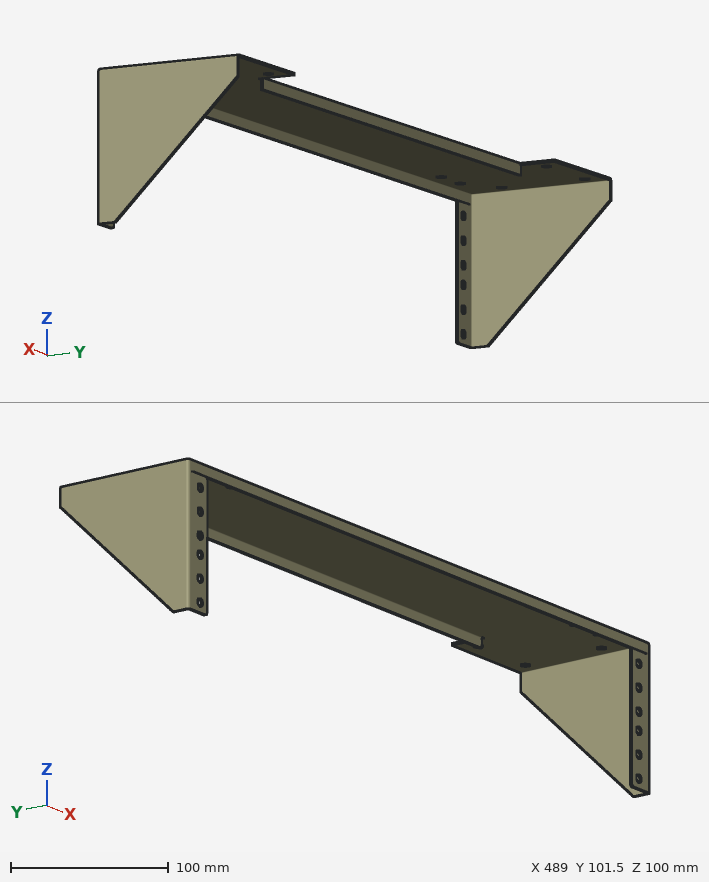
import cadquery as cq

WIDTH = 489.0
DEPTH = 101.5
HEIGHT = 100.0
SHEET = 1.5
BEND_RADIUS = 2.0
INNER_BEND_RADIUS = BEND_RADIUS - SHEET
HALF_WIDTH = WIDTH / 2
FOLDED_EDGES = "(>Z and <Y) or (>Z and <X) or (>Z and >X) or (<Y and <X) or (<Y and >X)"

END_BACK_HEIGHT = 14.0
END_FOOT_DEPTH = 12.5

FLANGE_WIDTH = 19.5
FLANGE_CORNER_RADIUS = 2.0
LIP_HEIGHT = 8.5
SLIT = 0.1
SLIT_INSET = 4.5

TAB_WIDTH = 74.5
NOTCH_DEPTH = 25.5
RELIEF_WIDTH = 1.5
NOTCH_FLOOR = DEPTH - NOTCH_DEPTH
REAR_LIP_FACE = NOTCH_FLOOR + BEND_RADIUS

TOP_HOLE_DIAMETER = 6.0
RACK_HOLE_DIAMETER = 5.5
EDGE_INSET = 12.5
RACK_INSET = 12.0
HOLE_PITCH = 25.0
BACK_HOLE_Y = 89.5
SIDE_HOLE_Y = 29.5
FRONT_HOLE_Y = 13.0
FIRST_RACK_HOLE = 17.0
RACK_UNIT = 44.5
RACK_CLOSE_STEP = 12.5
RACK_WIDE_STEP = (RACK_UNIT - RACK_CLOSE_STEP) / 2
RACK_STEPS = (RACK_WIDE_STEP, RACK_WIDE_STEP, RACK_CLOSE_STEP, RACK_WIDE_STEP, RACK_WIDE_STEP)


def box(x_min, x_max, y_min, y_max, z_min, z_max):
    size = (x_max - x_min, y_max - y_min, z_max - z_min)
    return cq.Workplane("XY").box(*size, centered=False).translate((x_min, y_min, z_min))


def folded_shell():
    """Top, front and two ends, open at the back and below, with rounded bends."""
    outer = box(-HALF_WIDTH, HALF_WIDTH, 0, DEPTH, -HEIGHT, 0)
    outer = outer.edges(FOLDED_EDGES)
    outer = outer.fillet(BEND_RADIUS)
    inner_half_width = HALF_WIDTH - SHEET
    inner = box(-inner_half_width, inner_half_width, SHEET, DEPTH + SHEET, -HEIGHT - SHEET, -SHEET)
    inner = inner.edges(FOLDED_EDGES)
    inner = inner.fillet(INNER_BEND_RADIUS)
    return outer.cut(inner)


def end_plate_waste():
    """Wedge removed from both ends to leave their sloping edge."""
    return (
        cq.Workplane("YZ")
        .moveTo(END_FOOT_DEPTH, -HEIGHT)
        .lineTo(DEPTH, -END_BACK_HEIGHT)
        .lineTo(DEPTH, -HEIGHT)
        .close()
        .extrude(HALF_WIDTH, both=True)
    )


def front_opening():
    """Opening below the front lip, plus the thin slits parting the lip from the flanges."""
    half_opening = HALF_WIDTH - FLANGE_WIDTH
    opening = box(-half_opening, half_opening, 0, SHEET, -HEIGHT, -LIP_HEIGHT)
    half_slit = HALF_WIDTH - SLIT_INSET
    slit = box(-half_slit, half_slit, 0, SHEET, -LIP_HEIGHT - SLIT, -LIP_HEIGHT)
    return opening.union(slit)


def round_flange_corners(body):
    """Round the lower inner corner of both front flanges."""
    reach = HALF_WIDTH - FLANGE_WIDTH + FLANGE_CORNER_RADIUS
    corners = cq.selectors.BoxSelector(
        (-reach, -SHEET, -HEIGHT - SHEET),
        (reach, 2 * SHEET, -HEIGHT + SHEET),
    )
    return body.edges("|Y").edges(corners).fillet(FLANGE_CORNER_RADIUS)


def notch():
    """Opening between the two tabs at the back of the top plate."""
    half_notch = HALF_WIDTH - TAB_WIDTH
    return box(-half_notch, half_notch, NOTCH_FLOOR, DEPTH, -SHEET, 0)


def rear_lip():
    """Lip folded down from the notch floor, with a clearance at each end."""
    half_lip = HALF_WIDTH - TAB_WIDTH - RELIEF_WIDTH
    root = NOTCH_FLOOR - SHEET
    outer = box(-half_lip, half_lip, root, REAR_LIP_FACE, -LIP_HEIGHT, 0)
    outer = outer.edges(">Z and >Y").fillet(BEND_RADIUS)
    inner = box(-half_lip, half_lip, root, REAR_LIP_FACE - SHEET, -LIP_HEIGHT, -SHEET)
    inner = inner.edges(">Z and >Y").fillet(INNER_BEND_RADIUS)
    return outer.cut(inner)


def top_holes():
    """Five holes through the top plate at each end, mirrored about the middle."""
    side_x = HALF_WIDTH - EDGE_INSET
    middle_x = side_x - HOLE_PITCH
    inner_x = middle_x - HOLE_PITCH
    points = []
    for side in (-1, 1):
        points += [
            (side * side_x, BACK_HOLE_Y),
            (side * inner_x, BACK_HOLE_Y),
            (side * side_x, SIDE_HOLE_Y),
            (side * middle_x, FRONT_HOLE_Y),
            (side * inner_x, FRONT_HOLE_Y),
        ]
    return cq.Workplane("XY").pushPoints(points).circle(TOP_HOLE_DIAMETER / 2).extrude(-SHEET)


def rack_holes():
    """A column of unevenly spaced holes through each front flange."""
    depths = [FIRST_RACK_HOLE]
    for step in RACK_STEPS:
        depths.append(depths[-1] + step)
    rack_x = HALF_WIDTH - RACK_INSET
    points = [(x, -depth) for x in (-rack_x, rack_x) for depth in depths]
    return cq.Workplane("XZ").pushPoints(points).circle(RACK_HOLE_DIAMETER / 2).extrude(-SHEET)


body = folded_shell().cut(end_plate_waste()).cut(front_opening())
body = round_flange_corners(body)
body = body.cut(notch()).union(rear_lip())
result = body.cut(top_holes()).cut(rack_holes())